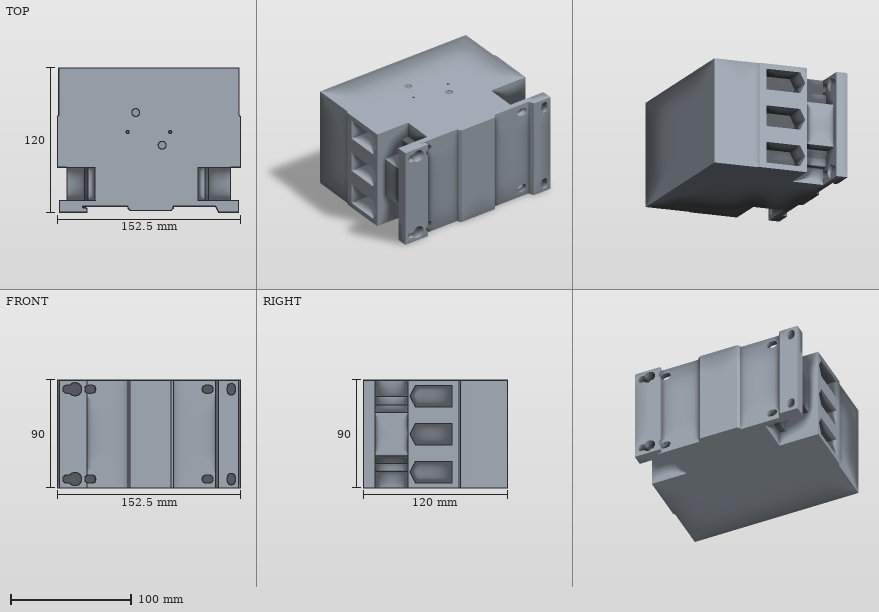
import cadquery as cq


WIDTH = 152.5
DEPTH = 120.0
HEIGHT = 90.0

COVER_WIDTH = 150.0
SHELF_Y = 37.4
STEP_BOTTOM_Y = 79.5
STEP_TOP_Y = 81.0

NECK_LEFT = -44.7
NECK_RIGHT = 40.7
NECK_MID = (NECK_LEFT + NECK_RIGHT) / 2

PLATE_WIDTH = 149.1
PLATE_TOP_Y = 9.9
CHANNEL_Y = 4.9
CHANNEL_RIGHT_TOP = 55.5
CHANNEL_RIGHT_BOTTOM = 57.8
LIP_TIP = -51.4
LIP_TIP_Y = 3.0
LIP_PEAK = -53.2
LIP_PEAK_Y = 4.1
UNDERCUT_X = -54.9
UNDERCUT_Y = 3.7

PAD_LEFT = -17.5
PAD_RIGHT = 20.3
PAD_Y = 1.4
PAD_CHAMFER = 2.0

SHOULDER_HALF_WIDTH = 48.8
SHOULDER_HALF_HEIGHT = 31.1
SHOULDER_FILLET = 1.0
NECK_FILLET = 0.9
SLOPE_TOP_Z = 24.4
SLOPE_BOTTOM_Z = 19.4
SLOPE_RUN = 2.9
SLOPE_FILLET = 2.7
ROOT_FILLET = 0.5
BLOCK_LEFT = -68.2
BLOCK_RIGHT = 68.0
BLOCK_HALF_HEIGHT = 18.1
BLOCK_FILLET = 1.2

MATCH_TOLERANCE = 0.02

TERMINAL_PITCH = 31.5
TERMINAL_HEIGHT = 17.8
TERMINAL_TOP_Y = 73.7
TERMINAL_SHOULDER_Y = 43.5
TERMINAL_TIP_Y = 38.9
TERMINAL_DEPTH = 22.9

HOLE_Z = 37.4
HOLE_RADIUS = 3.4
SLOT_LENGTH = 9.2
SLOT_X = 48.8
TALL_SLOT_LENGTH = 9.6
TALL_SLOT_X = 68.5
KEYHOLE_SMALL_X = -68.3
KEYHOLE_BIG_X = -61.5
KEYHOLE_BIG_RADIUS = 5.5

RECESS_MID_Y = 69.4
RECESS_OFFSET_X = 11.0
RECESS_OFFSET_Y = 13.5
RECESS_DIAMETER = 6.5
RECESS_DEPTH = 0.8
PIN_HOLE_X = 17.7
PIN_HOLE_Y = 66.8
PIN_HOLE_DIAMETER = 2.6
PIN_HOLE_DEPTH = 3.0


def outer_shell():
    """Housing, neck and mounting plate as one outline extruded over the full height."""
    half_width = WIDTH / 2
    half_cover = COVER_WIDTH / 2
    half_plate = PLATE_WIDTH / 2
    pad_wall_y = PAD_Y + PAD_CHAMFER
    outline = [
        (-half_cover, DEPTH),
        (-half_cover, STEP_TOP_Y),
        (-half_width, STEP_BOTTOM_Y),
        (-half_width, SHELF_Y),
        (NECK_LEFT, SHELF_Y),
        (NECK_LEFT, PLATE_TOP_Y),
        (-half_plate, PLATE_TOP_Y),
        (-half_plate, 0),
        (LIP_TIP, 0),
        (LIP_TIP, LIP_TIP_Y),
        (LIP_PEAK, LIP_PEAK_Y),
        (UNDERCUT_X, UNDERCUT_Y),
        (UNDERCUT_X, CHANNEL_Y),
        (PAD_LEFT, CHANNEL_Y),
        (PAD_LEFT, pad_wall_y),
        (PAD_LEFT + PAD_CHAMFER, PAD_Y),
        (PAD_RIGHT - PAD_CHAMFER, PAD_Y),
        (PAD_RIGHT, pad_wall_y),
        (PAD_RIGHT, CHANNEL_Y),
        (CHANNEL_RIGHT_TOP, CHANNEL_Y),
        (CHANNEL_RIGHT_BOTTOM, 0),
        (half_plate, 0),
        (half_plate, PLATE_TOP_Y),
        (NECK_RIGHT, PLATE_TOP_Y),
        (NECK_RIGHT, SHELF_Y),
        (half_width, SHELF_Y),
        (half_width, STEP_BOTTOM_Y),
        (half_cover, STEP_TOP_Y),
        (half_cover, DEPTH),
    ]
    return cq.Workplane("XY").workplane(offset=-HEIGHT / 2).polyline(outline).close().extrude(HEIGHT)


def gap_prism(points):
    """Prism with an XZ outline, filling the gap between the plate and the housing."""
    plane = cq.Workplane("XZ", origin=(0, PLATE_TOP_Y, 0))
    return plane.polyline(points).close().extrude(PLATE_TOP_Y - SHELF_Y)


def edges_at(body, half_width, z):
    """Edges along Y at the given distance from the neck middle and from Z = 0."""
    return body.edges("|Y").filter(
        lambda edge: abs(abs(edge.Center().x - NECK_MID) - half_width) < MATCH_TOLERANCE
        and abs(abs(edge.Center().z) - z) < MATCH_TOLERANCE
    )


def stepped_core():
    """Neck, sloped shoulders and the wide block, with their rounded transitions.

    The steps mirror about the middle of the neck; only the two block ends are off centre.
    """
    neck_half_width = NECK_RIGHT - NECK_MID
    slope_half_width = SHOULDER_HALF_WIDTH + SLOPE_RUN
    right_quarter = [
        (BLOCK_RIGHT, BLOCK_HALF_HEIGHT),
        (NECK_MID + slope_half_width, BLOCK_HALF_HEIGHT),
        (NECK_MID + slope_half_width, SLOPE_BOTTOM_Z),
        (NECK_MID + SHOULDER_HALF_WIDTH, SLOPE_TOP_Z),
        (NECK_MID + SHOULDER_HALF_WIDTH, SHOULDER_HALF_HEIGHT),
        (NECK_RIGHT, SHOULDER_HALF_HEIGHT),
        (NECK_RIGHT, HEIGHT / 2),
    ]
    left_quarter = [(2 * NECK_MID - x, z) for x, z in reversed(right_quarter)]
    left_quarter[-1] = (BLOCK_LEFT, BLOCK_HALF_HEIGHT)
    upper = right_quarter + left_quarter
    core = gap_prism(upper + [(x, -z) for x, z in reversed(upper)])
    rounded = [
        (slope_half_width, BLOCK_HALF_HEIGHT, ROOT_FILLET),
        (slope_half_width, SLOPE_BOTTOM_Z, SLOPE_FILLET),
        (SHOULDER_HALF_WIDTH, SHOULDER_HALF_HEIGHT, SHOULDER_FILLET),
        (neck_half_width, SHOULDER_HALF_HEIGHT, NECK_FILLET),
    ]
    for half_width, z, radius in rounded:
        core = edges_at(core, half_width, z).fillet(radius)
    return core.edges("|Y and >X").fillet(BLOCK_FILLET)


def terminal_openings():
    """Three pointed pockets, one above the other, in each side of the housing."""
    half_height = TERMINAL_HEIGHT / 2
    outline = [
        (TERMINAL_TOP_Y, -half_height),
        (TERMINAL_TOP_Y, half_height),
        (TERMINAL_SHOULDER_Y, half_height),
        (TERMINAL_TIP_Y, 0),
        (TERMINAL_SHOULDER_Y, -half_height),
    ]
    openings = cq.Workplane("YZ")
    for start_x in (-WIDTH / 2, WIDTH / 2 - TERMINAL_DEPTH):
        for row in (-1, 0, 1):
            plane = cq.Workplane("YZ", origin=(start_x, 0, row * TERMINAL_PITCH))
            openings = openings.add(plane.polyline(outline).close().extrude(TERMINAL_DEPTH))
    return openings.combine()


def mounting_face(x, z):
    """Workplane on the mounting face; a negative extrusion goes into the part."""
    return cq.Workplane("XZ", origin=(x, 0, z))


def keyhole(z):
    """Keyhole cutter: a large hole opening into a narrow round-ended slot."""
    run = KEYHOLE_BIG_X - KEYHOLE_SMALL_X
    small_end = mounting_face(KEYHOLE_SMALL_X, z).circle(HOLE_RADIUS).extrude(-PLATE_TOP_Y)
    slot = mounting_face(KEYHOLE_SMALL_X + run / 2, z).rect(run, 2 * HOLE_RADIUS).extrude(-PLATE_TOP_Y)
    large_hole = mounting_face(KEYHOLE_BIG_X, z).circle(KEYHOLE_BIG_RADIUS).extrude(-PLATE_TOP_Y)
    return small_end.union(slot).union(large_hole)


def mounting_holes():
    """Keyholes and slots through the plate, in an upper and a lower row."""
    width = 2 * HOLE_RADIUS
    holes = cq.Workplane("XZ")
    for z in (-HOLE_Z, HOLE_Z):
        holes = holes.add(keyhole(z))
        for x in (-SLOT_X, SLOT_X):
            slot = mounting_face(x, z).slot2D(SLOT_LENGTH, width)
            holes = holes.add(slot.extrude(-PLATE_TOP_Y))
        tall_slot = mounting_face(TALL_SLOT_X, z).slot2D(TALL_SLOT_LENGTH, width, 90)
        holes = holes.add(tall_slot.extrude(-PLATE_TOP_Y))
    return holes.combine()


def top_recesses():
    """Two shallow round recesses and two pin holes in the top face."""
    top = cq.Workplane("XY", origin=(0, 0, HEIGHT / 2))
    recess_places = [
        (-RECESS_OFFSET_X, RECESS_MID_Y + RECESS_OFFSET_Y),
        (RECESS_OFFSET_X, RECESS_MID_Y - RECESS_OFFSET_Y),
    ]
    pin_places = [(-PIN_HOLE_X, PIN_HOLE_Y), (PIN_HOLE_X, PIN_HOLE_Y)]
    recesses = top.pushPoints(recess_places).circle(RECESS_DIAMETER / 2).extrude(-RECESS_DEPTH)
    pins = top.pushPoints(pin_places).circle(PIN_HOLE_DIAMETER / 2).extrude(-PIN_HOLE_DEPTH)
    return recesses.add(pins).combine()


result = outer_shell().union(stepped_core())
for cutter in (terminal_openings(), mounting_holes(), top_recesses()):
    result = result.cut(cutter)